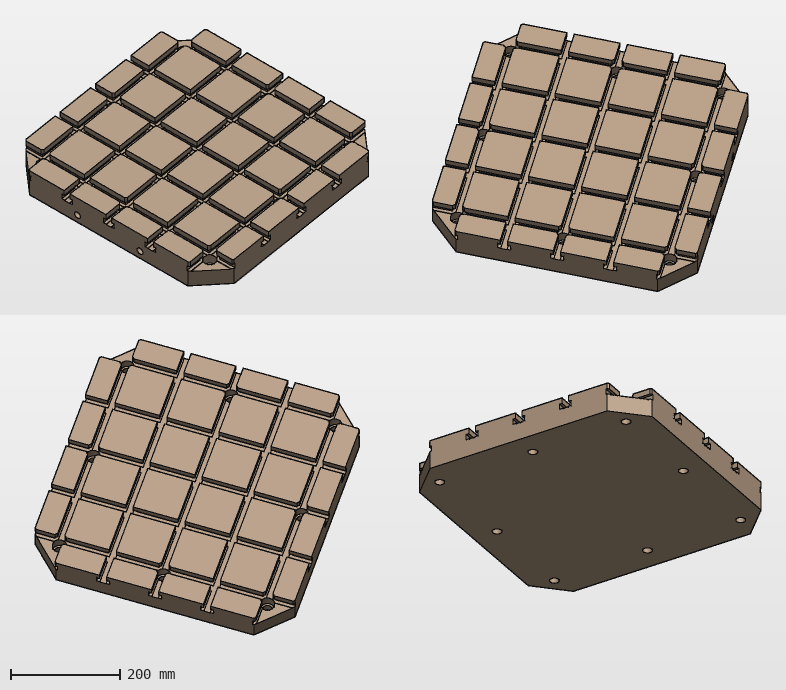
import cadquery as cq
import math

side = 500.0
height = 60.0
corner_cut = 60.0

slot_pitch = 100.0
slots_per_half = 2
slot_places = [step * slot_pitch for step in range(-slots_per_half, slots_per_half + 1)]
neck_width = 14.0
undercut_width = 25.0
neck_depth = 12.0
slot_depth = 23.0
groove_width = 12.0
groove_depth = 24.0

bolt_spacing = slots_per_half * slot_pitch
bolt_diameter = 18.0
head_diameter = 26.0
head_depth_below_groove = 20.0
head_depth = groove_depth + head_depth_below_groove

drill_diameter = 14.0
drill_spacing = 150.0
drill_height = 18.0
drill_depth = 25.0
tip_angle = 118.0


def make_plate():
    """Square plate with cut corners, standing on Z = 0."""
    plate = cq.Workplane("XY").box(side, side, height, centered=(True, True, False))
    return plate.edges("|Z").chamfer(corner_cut)


def make_bar(width, top_depth, bottom_depth):
    """Bar along Y between two depths below the top face."""
    bar = cq.Workplane("XY").box(width, side, bottom_depth - top_depth, centered=(True, True, False))
    return bar.translate((0, 0, height - bottom_depth))


def make_slot(place):
    """T-slot cutter along Y at X = place, with a shallow groove in its floor."""
    neck = make_bar(neck_width, 0, slot_depth)
    undercut = make_bar(undercut_width, neck_depth, slot_depth)
    groove = make_bar(groove_width, 0, groove_depth)
    return neck.union(undercut).union(groove).translate((place, 0, 0))


def cut_slots(body):
    for place in slot_places:
        slot = make_slot(place)
        body = body.cut(slot)
        body = body.cut(slot.rotate((0, 0, 0), (0, 0, 1), 90))
    return body


def cut_corner_reliefs(body):
    """Lower each corner, outside the outermost slots, to the groove floor."""
    inner_edge = slot_places[-1] - groove_width / 2
    relief_side = side / 2 - inner_edge
    relief_middle = inner_edge + relief_side / 2
    for x in (-relief_middle, relief_middle):
        for y in (-relief_middle, relief_middle):
            relief = cq.Workplane("XY").box(relief_side, relief_side, groove_depth, centered=(True, True, False))
            body = body.cut(relief.translate((x, y, height - groove_depth)))
    return body


def cut_bolt_holes(body):
    """Eight holes around the plate; the centre crossing has none."""
    rows = (-bolt_spacing, 0, bolt_spacing)
    points = [(x, y) for x in rows for y in rows if (x, y) != (0, 0)]
    shanks = cq.Workplane("XY").pushPoints(points).circle(bolt_diameter / 2).extrude(height)
    heads = (
        cq.Workplane("XY", origin=(0, 0, height - head_depth))
        .pushPoints(points)
        .circle(head_diameter / 2)
        .extrude(head_depth)
    )
    return body.cut(shanks).cut(heads)


def make_drill():
    """Drill shape with a conical tip, pointing along +Y from the -Y side."""
    radius = drill_diameter / 2
    tip_length = radius / math.tan(math.radians(tip_angle / 2))
    profile = (
        cq.Workplane("XY")
        .lineTo(radius, 0)
        .lineTo(radius, drill_depth)
        .lineTo(0, drill_depth + tip_length)
        .close()
    )
    drill = profile.revolve(360, (0, 0, 0), (0, 1, 0))
    return drill.translate((0, -side / 2, drill_height))


def cut_side_holes(body):
    for x in (-drill_spacing / 2, drill_spacing / 2):
        body = body.cut(make_drill().translate((x, 0, 0)))
    return body


result = make_plate()
result = cut_slots(result)
result = cut_corner_reliefs(result)
result = cut_bolt_holes(result)
result = cut_side_holes(result)